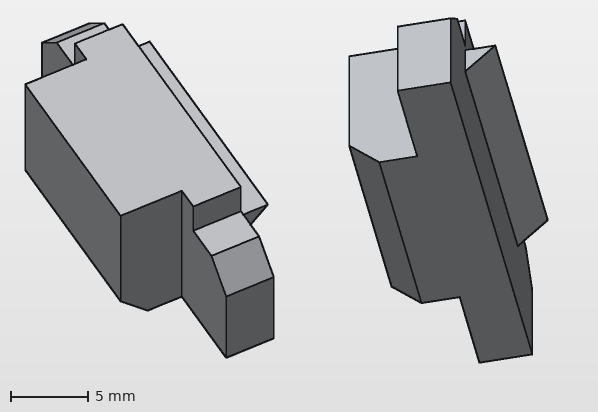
import cadquery as cq

length = 24.9
height = 10.35
block_length = 12.9
upper_length = 15.99
plate_depth = 3.5
block_depth = 4.5
shoulder_height = 8.0
bevel = 2.0
latch_height = 7.57

half_length = length / 2
half_upper = upper_length / 2
plate_outline = [
    (-half_length, 0),
    (half_length, 0),
    (half_length, shoulder_height - bevel),
    (half_length - bevel, shoulder_height),
    (half_upper, shoulder_height),
    (half_upper, height),
    (-half_upper, height),
    (-half_upper, shoulder_height),
    (-half_length + bevel, shoulder_height),
    (-half_length, shoulder_height - bevel),
]
plate = cq.Workplane("XZ").polyline(plate_outline).close().extrude(plate_depth)


def side_profile(points, width):
    """Extrude a (Y, Z) outline along X, centred on X = 0."""
    return cq.Workplane("YZ").polyline(points).close().extrude(width / 2, both=True)


front = -plate_depth - block_depth
block_outline = [
    (-plate_depth, 0),
    (front + bevel, 0),
    (front, bevel),
    (front, height),
    (-plate_depth, height),
]
block = side_profile(block_outline, block_length)

latch_outline = [
    (0, latch_height - bevel),
    (bevel, latch_height),
    (0, latch_height),
]
latch = side_profile(latch_outline, upper_length)

result = plate.union(block).union(latch)